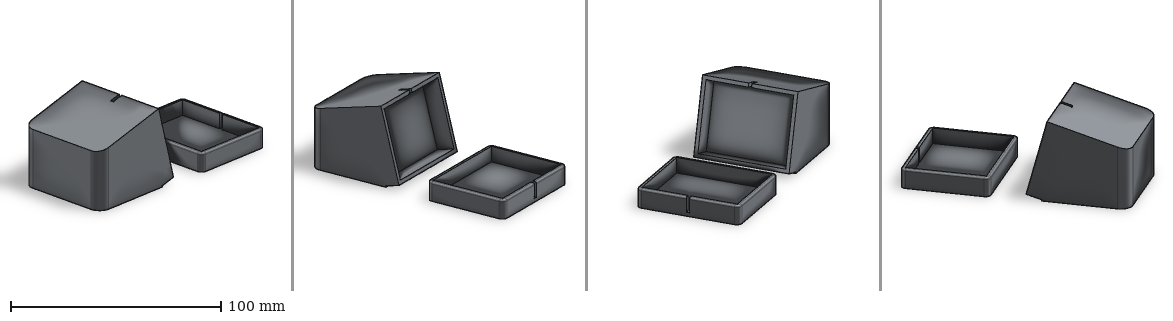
import cadquery as cq
import math

TILT = 15.0
WALL = 2.0
NOTCH_WIDTH = 1.7

LID_WIDTH = 54.0
LID_DEPTH = 44.0
LID_HEIGHT = 10.0
LID_BACK_Y = 112.5
LID_FLOOR = 2.0
LID_CORNER_RADIUS = 2.7
LID_RIM_RADIUS = 1.0

HOUSING_WIDTH = LID_WIDTH - 2 * WALL
FACE_HEIGHT = LID_DEPTH - 2 * WALL
PEAK_HEIGHT = 41.3
FRONT_HEIGHT = 30.4
FRONT_CORNER_RADIUS = 6.0
LID_SEAT_LENGTH = LID_HEIGHT - LID_FLOOR
POCKET_DEPTH = 10.0
NOTCH_LENGTH = 6.0

tilt_sin = math.sin(math.radians(TILT))
tilt_cos = math.cos(math.radians(TILT))
tilt_tan = math.tan(math.radians(TILT))

peak_y = (PEAK_HEIGHT - FRONT_HEIGHT) / tilt_tan
heel_y = peak_y + FACE_HEIGHT * tilt_sin
heel_z = PEAK_HEIGHT - FACE_HEIGHT * tilt_cos
step_y = heel_y - LID_SEAT_LENGTH * tilt_cos
step_z = heel_z - LID_SEAT_LENGTH * tilt_sin
base_end_y = step_y + step_z * tilt_tan


def open_face_plane():
    """Plane on the leaning face: origin at its peak, local Y up the face, normal out of it."""
    return cq.Plane(
        origin=(0, peak_y, PEAK_HEIGHT),
        xDir=(-1, 0, 0),
        normal=(0, tilt_cos, tilt_sin),
    )


def make_housing():
    outline = [
        (0, 0),
        (0, FRONT_HEIGHT),
        (peak_y, PEAK_HEIGHT),
        (heel_y, heel_z),
        (step_y, step_z),
        (base_end_y, 0),
    ]
    block = (
        cq.Workplane("YZ")
        .polyline(outline)
        .close()
        .extrude(HOUSING_WIDTH / 2, both=True)
        .edges("|Z and <Y")
        .fillet(FRONT_CORNER_RADIUS)
    )

    pocket = (
        cq.Workplane(open_face_plane())
        .center(0, -FACE_HEIGHT / 2)
        .rect(HOUSING_WIDTH - 2 * WALL, FACE_HEIGHT - 2 * WALL)
        .extrude(-POCKET_DEPTH)
    )

    notch = (
        cq.Workplane(open_face_plane())
        .center(0, -WALL / 2)
        .rect(NOTCH_WIDTH, WALL)
        .extrude(-NOTCH_LENGTH)
    )
    return block.cut(pocket).cut(notch)


def make_lid():
    center_y = LID_BACK_Y - LID_DEPTH / 2
    tray = (
        cq.Workplane("XY")
        .center(0, center_y)
        .rect(LID_WIDTH, LID_DEPTH)
        .extrude(LID_HEIGHT)
        .edges("|Z")
        .fillet(LID_CORNER_RADIUS)
        .faces(">Z")
        .edges()
        .fillet(LID_RIM_RADIUS)
    )

    floor_plane = cq.Workplane("XY", origin=(0, center_y, LID_FLOOR))
    recess = floor_plane.rect(HOUSING_WIDTH, FACE_HEIGHT).extrude(LID_SEAT_LENGTH)

    notch = (
        floor_plane.center(0, (LID_DEPTH - WALL) / 2)
        .rect(NOTCH_WIDTH, WALL)
        .extrude(LID_SEAT_LENGTH)
    )
    return tray.cut(recess).cut(notch)


housing = make_housing()
lid = make_lid()

result = cq.Compound.makeCompound([housing.val(), lid.val()])